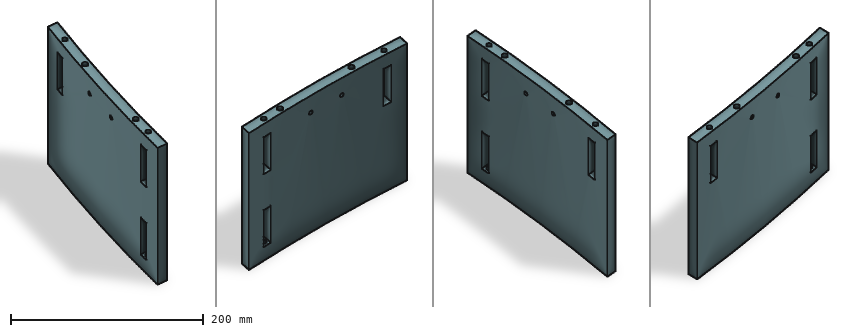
import cadquery as cq

width = 209.5
height = 203.3
depth = 15.0
thickness = 12.0
bow = depth - thickness

window_width = 10.0
window_height = 55.0
window_inset = 20.1
window_x = width / 2 - window_inset - window_width / 2
window_z = height / 2 - window_inset - window_height / 2
window_centers = [(-window_x, window_z), (window_x, window_z), (window_x, -window_z)]

face_hole_diameter = 4.8
face_hole_x = 20.5
face_hole_drop = 25.5

long_bore_diameter = 6.5
long_bores = [(-38.1, -1.5), (57.2, -0.6)]
short_bore_diameter = 5.9
short_bore_y = 0.5


def bowed_plate():
    """Constant-depth plate, bowed toward -Y at the middle, with flat ends."""
    half = width / 2
    front = -depth / 2
    back = depth / 2
    return (
        cq.Workplane("XY", origin=(0, 0, -height / 2))
        .moveTo(-half, front + bow)
        .threePointArc((0, front), (half, front + bow))
        .lineTo(half, back)
        .threePointArc((0, back - bow), (-half, back))
        .close()
        .extrude(height)
    )


def windows():
    return (
        cq.Workplane("XZ")
        .pushPoints(window_centers)
        .rect(window_width, window_height)
        .extrude(depth, both=True)
    )


def face_holes():
    hole_z = height / 2 - face_hole_drop
    return (
        cq.Workplane("XZ")
        .pushPoints([(-face_hole_x, hole_z), (face_hole_x, hole_z)])
        .circle(face_hole_diameter / 2)
        .extrude(depth, both=True)
    )


def long_bores_through():
    """Bores running the full height of the plate."""
    return (
        cq.Workplane("XY", origin=(0, 0, -height / 2))
        .pushPoints(long_bores)
        .circle(long_bore_diameter / 2)
        .extrude(height)
    )


def short_bores():
    """Bores from the nearest horizontal edge into each window."""
    bores = cq.Workplane("XY")
    for x, z in window_centers:
        start = height / 2 - window_inset if z > 0 else -height / 2
        bore = (
            cq.Workplane("XY", origin=(x, short_bore_y, start))
            .circle(short_bore_diameter / 2)
            .extrude(window_inset)
        )
        bores = bores.add(bore)
    return bores.combine()


result = bowed_plate()
for cutter in (windows(), face_holes(), long_bores_through(), short_bores()):
    result = result.cut(cutter)